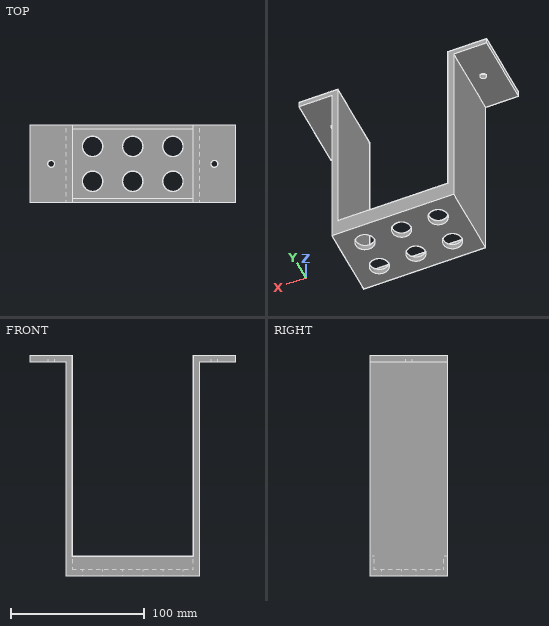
import cadquery as cq

height = 165.0
depth = 58.0
overall_width = 154.0
body_width = 100.0
wall = 5.0
flange_thickness = 5.0

tray_height = 15.0
lip_thickness = 3.0
floor_thickness = 5.0

tray_hole_diameter = 15.0
tray_hole_pitch_x = 30.0
tray_hole_pitch_y = 26.0
tray_hole_columns = 3
tray_hole_rows = 2
screw_hole_diameter = 5.0

inner_width = body_width - 2 * wall
flange_length = (overall_width - inner_width) / 2
screw_spacing = inner_width + flange_length


def block(width, length, bottom, top, x=0):
    """Box centred on Y, between two heights."""
    return (
        cq.Workplane("XY", origin=(x, 0, bottom))
        .rect(width, length)
        .extrude(top - bottom)
    )


result = block(body_width, depth, 0, tray_height)
result = result.cut(block(inner_width, depth - 2 * lip_thickness, floor_thickness, tray_height))

for side in (-1, 1):
    wall_x = side * (body_width - wall) / 2
    flange_x = side * screw_spacing / 2
    result = result.union(block(wall, depth, 0, height, wall_x))
    result = result.union(block(flange_length, depth, height - flange_thickness, height, flange_x))

tray_holes = (
    cq.Workplane("XY")
    .rarray(tray_hole_pitch_x, tray_hole_pitch_y, tray_hole_columns, tray_hole_rows)
    .circle(tray_hole_diameter / 2)
    .extrude(tray_height)
)
result = result.cut(tray_holes)

screw_holes = (
    cq.Workplane("XY", origin=(0, 0, height - flange_thickness))
    .rarray(screw_spacing, 1.6, 2, 1)
    .circle(screw_hole_diameter / 2)
    .extrude(flange_thickness)
)
result = result.cut(screw_holes)